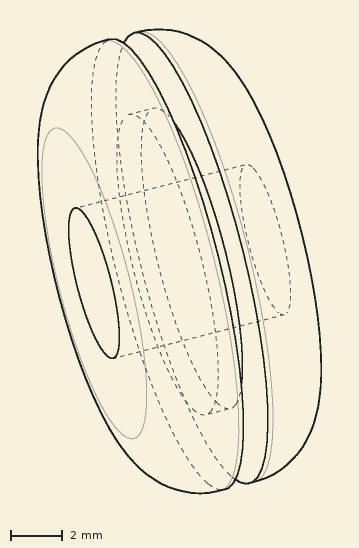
import cadquery as cq

outer_diameter = 18.0
groove_diameter = 12.0
bore_diameter = 6.0
total_length = 7.0
groove_width = 1.0
rim_radius = 2.8

outer_radius = outer_diameter / 2
groove_radius = groove_diameter / 2
bore_radius = bore_diameter / 2
end_y = total_length / 2
groove_y = groove_width / 2
face_radius = outer_radius - rim_radius
rim_y = end_y - rim_radius


def make_profile():
    """Half section in the YZ plane: local x runs along Y, local y is the radius."""
    return (
        cq.Workplane("YZ")
        .moveTo(-end_y, bore_radius)
        .lineTo(-end_y, face_radius)
        .radiusArc((-rim_y, outer_radius), rim_radius)
        .lineTo(-groove_y, outer_radius)
        .lineTo(-groove_y, groove_radius)
        .lineTo(groove_y, groove_radius)
        .lineTo(groove_y, outer_radius)
        .lineTo(rim_y, outer_radius)
        .radiusArc((end_y, face_radius), rim_radius)
        .lineTo(end_y, bore_radius)
        .close()
    )


result = make_profile().revolve(360, (0, 0, 0), (1, 0, 0))